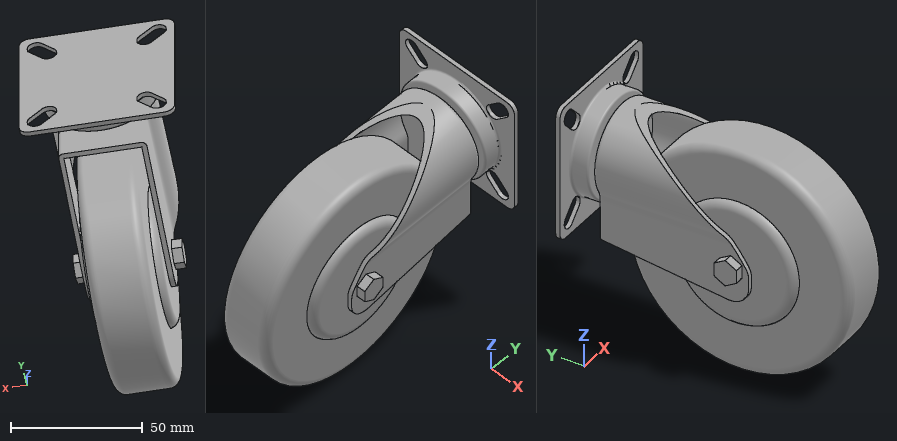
import cadquery as cq
import math


plate_size = 60.0
plate_thickness = 2.0
plate_corner_radius = 4.0
slot_width = 6.5
slot_inner_offset = 18.7
slot_outer_offset = 23.5
collar_radius = 22.5
collar_end = 10.0
collar_fillet = 1.0

wheel_radius = 50.0
wheel_width = 24.0
wheel_fillet = 4.0
wheel_axis_y = -70.0
wheel_axis_z = -25.0

cap_radius = 27.5
cap_fillet = 4.0
cap_protrusion = 3.0
cap_seat_depth = 2.0
cap_face_x = wheel_width / 2 + cap_protrusion
cap_thickness = cap_protrusion + cap_seat_depth

wall = 2.0
fork_back_y = -(collar_end + 1.0)
fork_radius = 21.0
fork_back_fillet = 2.0
leg_outer_x = cap_face_x + wall
blend_radius = 8.0
leg_corner_radius = 8.0
leg_front_y = wheel_axis_y - leg_corner_radius
leg_rear_bottom_z = -32.0
leg_bottom_angle = 7.5
crown_start_y = -18.0
crown_radius = 106.0
cut_margin = 10.0

head_across_flats = 10.0
head_height = 4.0


def make_plate():
    """Square plate with four diagonal slots and a round bearing collar."""
    plate = (
        cq.Workplane("XZ")
        .rect(plate_size, plate_size)
        .extrude(plate_thickness)
        .edges("|Y")
        .fillet(plate_corner_radius)
    )
    collar = cq.Workplane("XZ").circle(collar_radius).extrude(collar_end)
    plate = plate.union(collar)
    plate = plate.faces("<Y").edges().fillet(collar_fillet)
    collar_root = cq.selectors.RadiusNthSelector(-1)
    plate = plate.edges("%CIRCLE").edges(collar_root).fillet(collar_fillet)

    slot_middle = math.sqrt(2) * (slot_inner_offset + slot_outer_offset) / 2
    slot_length = math.sqrt(2) * (slot_outer_offset - slot_inner_offset) + slot_width
    slots = (
        cq.Workplane("XZ")
        .polarArray(slot_middle, 45, 360, 4)
        .slot2D(slot_length, slot_width)
        .extrude(plate_thickness)
    )
    return plate.cut(slots)


def fork_section(radius, leg_x, blend, bottom_z, start_y):
    """Arch-shaped section: a round barrel blended into two flat legs, drawn at start_y."""
    blend_x = leg_x + blend
    blend_z = -math.sqrt((radius + blend) ** 2 - blend_x ** 2)
    tangent_x = blend_x * radius / (radius + blend)
    tangent_z = blend_z * radius / (radius + blend)
    half_angle = math.atan2(-blend_z, blend_x) / 2
    middle_x = blend_x - blend * math.cos(half_angle)
    middle_z = blend_z + blend * math.sin(half_angle)
    return (
        cq.Workplane("XZ", origin=(0, start_y, 0))
        .moveTo(-leg_x, bottom_z)
        .lineTo(-leg_x, blend_z)
        .threePointArc((-middle_x, middle_z), (-tangent_x, tangent_z))
        .threePointArc((0, radius), (tangent_x, tangent_z))
        .threePointArc((middle_x, middle_z), (leg_x, blend_z))
        .lineTo(leg_x, bottom_z)
        .close()
    )


def fork_side_outline():
    """Side shape of the fork, as a block spanning its full width."""
    leg_length = fork_back_y - leg_front_y
    front_bottom_z = leg_rear_bottom_z - leg_length * math.tan(math.radians(leg_bottom_angle))
    block = (
        cq.Workplane("YZ", origin=(-fork_radius - cut_margin, 0, 0))
        .moveTo(fork_back_y, fork_radius + cut_margin)
        .lineTo(crown_start_y, fork_radius + cut_margin)
        .lineTo(crown_start_y, fork_radius)
        .radiusArc((leg_front_y, wheel_axis_z), -crown_radius)
        .lineTo(leg_front_y, front_bottom_z)
        .lineTo(fork_back_y, leg_rear_bottom_z)
        .close()
        .extrude(2 * (fork_radius + cut_margin))
    )
    return block.edges("|X and <Y").fillet(leg_corner_radius)


def make_fork():
    """Thin-walled fork, open at the front and bottom and closed by a flat back wall."""
    bottom_z = wheel_axis_z - wheel_radius
    length = fork_back_y - leg_front_y + cut_margin
    body = fork_section(fork_radius, leg_outer_x, blend_radius, bottom_z, fork_back_y).extrude(length)
    body = body.faces(">Y").edges("not <Z").fillet(fork_back_fillet)
    cavity = fork_section(
        fork_radius - wall, leg_outer_x - wall, blend_radius + wall, bottom_z, fork_back_y - wall
    ).extrude(length)
    return body.cut(cavity).intersect(fork_side_outline())


def disc(radius, start_x, length):
    """Cylinder on the wheel axis, starting at start_x."""
    return (
        cq.Workplane("YZ", origin=(start_x, wheel_axis_y, wheel_axis_z))
        .circle(radius)
        .extrude(length)
    )


def make_wheel():
    """Solid wheel with rounded shoulders and a recess for a hub cap on each side."""
    wheel = disc(wheel_radius, -wheel_width / 2, wheel_width).edges().fillet(wheel_fillet)
    for side in (-1, 1):
        wheel = wheel.cut(disc(cap_radius, side * wheel_width / 2, -side * cap_seat_depth))
    return wheel


def make_cap(side):
    """Hub cap with a rounded outer rim, on the given side of the wheel."""
    cap = disc(cap_radius, side * cap_face_x, -side * cap_thickness)
    outer_face = ">X" if side > 0 else "<X"
    return cap.faces(outer_face).edges().fillet(cap_fillet)


def make_bolt_head(side):
    """Hexagonal head on the outside of one fork leg, with two corners on a vertical line."""
    across_corners = head_across_flats / math.cos(math.pi / 6)
    return (
        cq.Workplane("YZ", origin=(side * leg_outer_x, wheel_axis_y, wheel_axis_z))
        .transformed(rotate=(0, 0, 90))
        .polygon(6, across_corners)
        .extrude(side * head_height)
    )


plate = make_plate()
fork = make_fork()
wheel = make_wheel()
caps = [make_cap(side) for side in (-1, 1)]
bolt_heads = [make_bolt_head(side) for side in (-1, 1)]

result = cq.Compound.makeCompound(
    [plate.val(), fork.val(), wheel.val()]
    + [cap.val() for cap in caps]
    + [head.val() for head in bolt_heads]
)